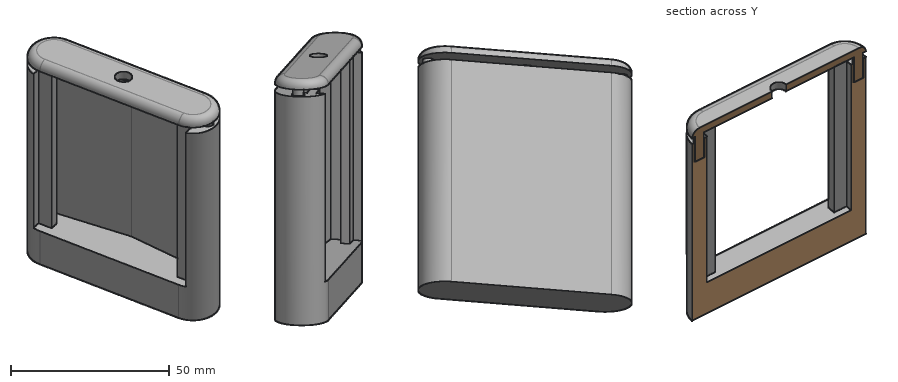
import cadquery as cq
import math

length = 69.0
depth = 17.0
height = 79.5
end_radius = depth / 2

lid_thickness = 3.0
lid_edge_radius = 2.95
lid_hole_diameter = 5.5
lid_bottom = height - lid_thickness

peg_diameter = 3.5
peg_hole_diameter = 4.0
peg_offset = 31.5
peg_hole_depth = 7.95

housing_height = 74.2
floor_height = 13.2
recess_half_width = 28.5
opening_half_width = 23.5
rail_front_y = -5.25
rail_back_y = -2.2
cavity_half_width = recess_half_width
back_centre_y = 4.7
back_wall_angle = 5.5
back_side_y = back_centre_y - cavity_half_width * math.tan(math.radians(back_wall_angle))


def rounded_slab(bottom, thickness):
    """Full-length slab with semicircular ends."""
    return cq.Workplane("XY").workplane(offset=bottom).slot2D(length, depth).extrude(thickness)


def peg_cylinders(diameter, bottom, top):
    """One cylinder at each end of the part, on the pegs' axes."""
    return (
        cq.Workplane("XY")
        .workplane(offset=bottom)
        .pushPoints([(-peg_offset, 0), (peg_offset, 0)])
        .circle(diameter / 2)
        .extrude(top - bottom)
    )


def front_opening():
    """T-shaped slot, open at the top and front, with a shallow V back wall."""
    right_side = [
        (recess_half_width, -end_radius),
        (recess_half_width, rail_front_y),
        (opening_half_width, rail_front_y),
        (opening_half_width, rail_back_y),
        (cavity_half_width, rail_back_y),
        (cavity_half_width, back_side_y),
    ]
    left_side = [(-x, y) for x, y in reversed(right_side)]
    outline = right_side + [(0, back_centre_y)] + left_side
    return (
        cq.Workplane("XY")
        .workplane(offset=floor_height)
        .polyline(outline)
        .close()
        .extrude(housing_height - floor_height)
    )


def make_housing():
    peg_holes = peg_cylinders(peg_hole_diameter, housing_height - peg_hole_depth, housing_height)
    return rounded_slab(0, housing_height).cut(front_opening()).cut(peg_holes)


def make_lid():
    plate = rounded_slab(lid_bottom, lid_thickness).faces(">Z").edges().fillet(lid_edge_radius)
    plate = plate.faces(">Z").workplane(origin=(0, 0, height)).hole(lid_hole_diameter)
    pegs = peg_cylinders(peg_diameter, housing_height - peg_hole_depth, lid_bottom)
    return plate.union(pegs)


housing = make_housing()
lid = make_lid()

result = cq.Compound.makeCompound([housing.val(), lid.val()])